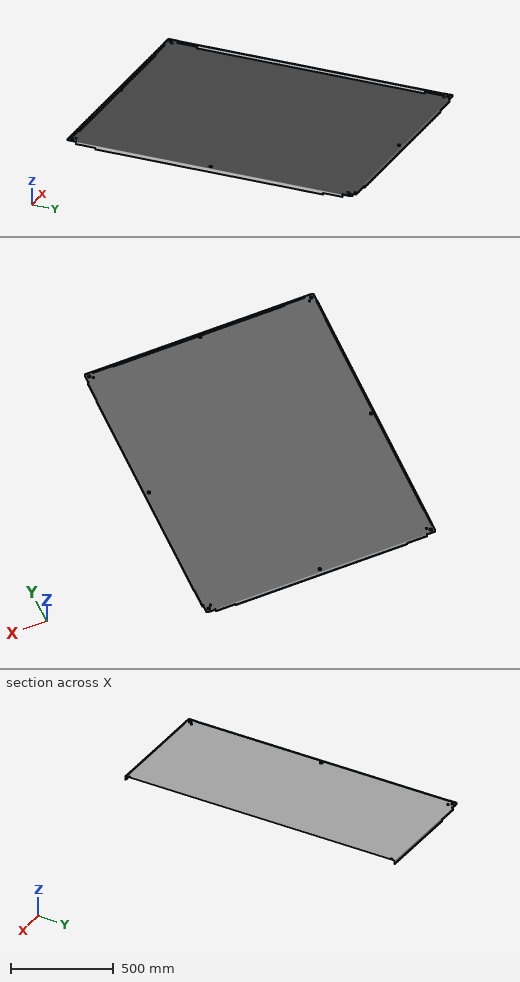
import cadquery as cq
import math

length_x = 1217.61
length_y = 1522.41
height = 22.23

sheet = 3.04
inner_bend_radius = 2.66
outer_bend_radius = inner_bend_radius + sheet

corner_inset = 2.4
corner_radius = 7.5

flange_end_inset = 49.8
flange_step_inset = 154.4
flange_end_depth = 14.3

edge_hole_diameter = 12.7
inner_hole_diameter = 7.14
edge_hole_inset = 20.8
inner_hole_inset = 36.5

half_x = length_x / 2
half_y = length_y / 2


def make_plate():
    """Flat sheet with rounded unbent corners, trimmed back to where the bends start."""
    plate = (
        cq.Workplane("XY")
        .rect(length_x - 2 * corner_inset, length_y - 2 * corner_inset)
        .extrude(-sheet)
        .edges("|Z")
        .fillet(corner_radius)
    )
    for sign in (-1, 1):
        x_strip = (
            cq.Workplane("XY")
            .center(sign * (half_x - outer_bend_radius / 2), 0)
            .rect(outer_bend_radius, length_y - 2 * flange_end_inset)
            .extrude(-sheet)
        )
        y_strip = (
            cq.Workplane("XY")
            .center(0, sign * (half_y - outer_bend_radius / 2))
            .rect(length_x - 2 * flange_end_inset, outer_bend_radius)
            .extrude(-sheet)
        )
        plate = plate.cut(x_strip).cut(y_strip)
    return plate


def make_flange(half_span, side_length):
    """Flange along Y on the +X side of a panel that reaches half_span in X."""
    bend_start = half_span - outer_bend_radius
    half_flange = side_length / 2 - flange_end_inset
    half_deep_part = side_length / 2 - flange_step_inset
    inner_face = half_span - sheet
    mid_bend = math.sqrt(0.5)

    profile = (
        cq.Workplane("XZ", origin=(0, half_flange, 0))
        .moveTo(bend_start, 0)
        .threePointArc(
            (bend_start + outer_bend_radius * mid_bend, outer_bend_radius * (mid_bend - 1)),
            (half_span, -outer_bend_radius),
        )
        .lineTo(half_span, -height)
        .lineTo(inner_face, -height)
        .lineTo(inner_face, -outer_bend_radius)
        .threePointArc(
            (
                bend_start + inner_bend_radius * mid_bend,
                inner_bend_radius * mid_bend - outer_bend_radius,
            ),
            (bend_start, -sheet),
        )
        .close()
    )
    flange = profile.extrude(2 * half_flange)

    notch_length = half_flange - half_deep_part
    notch_depth = height - flange_end_depth
    for side in (-1, 1):
        notch = (
            cq.Workplane("XY")
            .box(2 * sheet, notch_length, notch_depth)
            .translate((
                half_span - sheet / 2,
                side * (half_flange - notch_length / 2),
                -height + notch_depth / 2,
            ))
        )
        flange = flange.cut(notch)
    return flange


def drill(body, diameter, points):
    """Drill holes of one diameter right through the sheet."""
    holes = cq.Workplane("XY").pushPoints(points).circle(diameter / 2).extrude(-sheet)
    return body.cut(holes)


def corner_points(inset):
    """Four points set in equally from the X and Y sides of the panel."""
    return [
        (sign_x * (half_x - inset), sign_y * (half_y - inset))
        for sign_x in (-1, 1)
        for sign_y in (-1, 1)
    ]


panel = make_plate()

x_flange = make_flange(half_x, length_y)
y_flange = make_flange(half_y, length_x)
for first_angle, flange in ((0, x_flange), (90, y_flange)):
    for angle in (first_angle, first_angle + 180):
        panel = panel.union(flange.rotate((0, 0, 0), (0, 0, 1), angle))

x_side_points = [(sign * (half_x - edge_hole_inset), 0) for sign in (-1, 1)]
y_side_points = [(0, sign * (half_y - edge_hole_inset)) for sign in (-1, 1)]
mounting_points = corner_points(edge_hole_inset) + x_side_points + y_side_points
panel = drill(panel, edge_hole_diameter, mounting_points)

panel = drill(panel, inner_hole_diameter, corner_points(inner_hole_inset))

result = panel